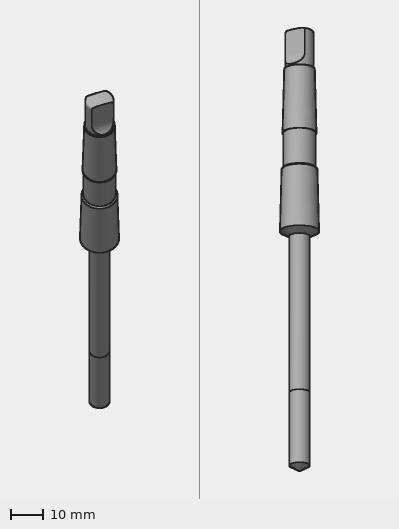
import cadquery as cq
import math

TOTAL_LENGTH = 144.0

HEAD_RADIUS = 6.5 / 2
POINT_ANGLE = 118.0
HEAD_TOP = 25.8

NECK_TOP = 76.8

COLLAR_BOTTOM = 78.3
COLLAR_RADIUS = 12.2 / 2
TAPER_PER_LENGTH = 0.05
RELIEF_BOTTOM = 98.5
RELIEF_TOP = 110.5
RELIEF_RADIUS = 10.1 / 2
RELIEF_CHAMFER_HEIGHT = 0.6
SHANK_TOP = 131.2
SHANK_CHAMFER_HEIGHT = 0.3

TANG_RADIUS = 4.5
TANG_EDGE_FILLET = 1.0
TANG_CROWN_HEIGHT = 0.3
FLAT_DISTANCE = 2.6
FLAT_DIRECTION = -50.0
FLAT_BOTTOM = 135.6
RUNOUT_RADIUS = 4.8


def taper_radius(z):
    """Radius of the common shank cone at height z."""
    return COLLAR_RADIUS - (z - COLLAR_BOTTOM) * TAPER_PER_LENGTH / 2


def make_cutting_head():
    """Plain cylinder with a conical drill point."""
    point_height = HEAD_RADIUS / math.tan(math.radians(POINT_ANGLE / 2))
    return (
        cq.Workplane("XZ")
        .moveTo(0, 0)
        .lineTo(HEAD_RADIUS, point_height)
        .lineTo(HEAD_RADIUS, HEAD_TOP)
        .lineTo(0, HEAD_TOP)
        .close()
        .revolve(360, (0, 0, 0), (0, 1, 0))
    )


def make_turned_shank():
    """Everything above the head, before the tang flats are cut."""
    rim_z = TOTAL_LENGTH - TANG_CROWN_HEIGHT
    rim_radius = TANG_RADIUS - TANG_EDGE_FILLET
    fillet_bottom = rim_z - TANG_EDGE_FILLET
    fillet_mid = TANG_EDGE_FILLET * math.sqrt(0.5)
    return (
        cq.Workplane("XZ")
        .moveTo(0, HEAD_TOP)
        .lineTo(HEAD_RADIUS, HEAD_TOP)
        .lineTo(HEAD_RADIUS, NECK_TOP)
        .lineTo(COLLAR_RADIUS, COLLAR_BOTTOM)
        .lineTo(taper_radius(RELIEF_BOTTOM), RELIEF_BOTTOM)
        .lineTo(RELIEF_RADIUS, RELIEF_BOTTOM + RELIEF_CHAMFER_HEIGHT)
        .lineTo(RELIEF_RADIUS, RELIEF_TOP)
        .lineTo(taper_radius(RELIEF_TOP), RELIEF_TOP)
        .lineTo(taper_radius(SHANK_TOP), SHANK_TOP)
        .lineTo(TANG_RADIUS, SHANK_TOP + SHANK_CHAMFER_HEIGHT)
        .lineTo(TANG_RADIUS, fillet_bottom)
        .threePointArc((rim_radius + fillet_mid, fillet_bottom + fillet_mid), (rim_radius, rim_z))
        .lineTo(0, TOTAL_LENGTH)
        .close()
        .revolve(360, (0, 0, 0), (0, 1, 0))
    )


def make_flat_cutter(direction):
    """Removes one tang flat, which curves outward at its lower end."""
    cutter_half_width = 2 * TANG_RADIUS
    runout_mid = RUNOUT_RADIUS * (1 - math.sqrt(0.5))
    runout_drop = RUNOUT_RADIUS * math.sqrt(0.5)
    cutter_top = TOTAL_LENGTH + TANG_RADIUS
    return (
        cq.Workplane("XZ")
        .moveTo(FLAT_DISTANCE, cutter_top)
        .lineTo(FLAT_DISTANCE, FLAT_BOTTOM)
        .threePointArc(
            (FLAT_DISTANCE + runout_mid, FLAT_BOTTOM - runout_drop),
            (FLAT_DISTANCE + RUNOUT_RADIUS, FLAT_BOTTOM - RUNOUT_RADIUS),
        )
        .lineTo(FLAT_DISTANCE + RUNOUT_RADIUS, cutter_top)
        .close()
        .extrude(cutter_half_width, both=True)
        .rotate((0, 0, 0), (0, 0, 1), direction)
    )


def make_shank():
    """Turned shank with two opposite flats on its tang."""
    shank = make_turned_shank()
    for turn in (0, 180):
        shank = shank.cut(make_flat_cutter(FLAT_DIRECTION + turn))
    return shank


cutting_head = make_cutting_head()
shank = make_shank()

result = cq.Compound.makeCompound([cutting_head.val(), shank.val()])